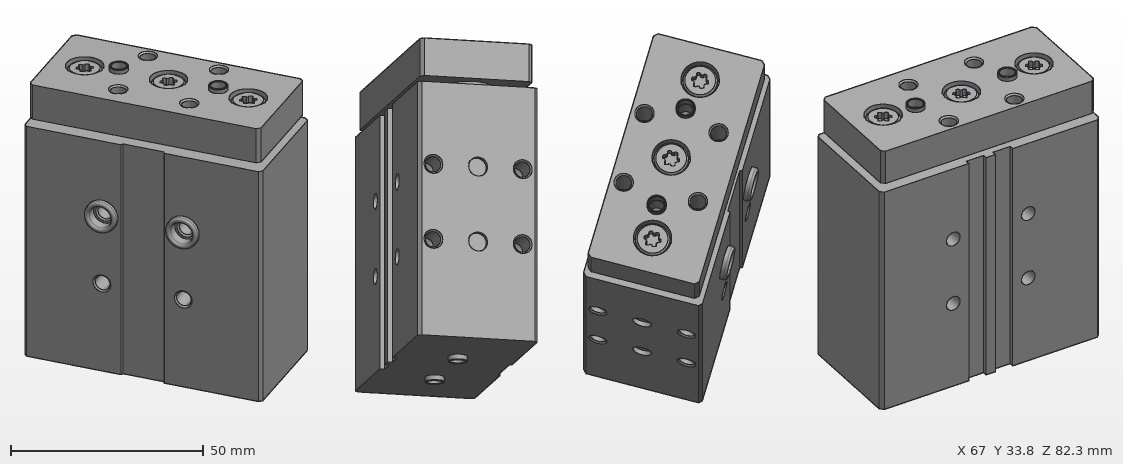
import cadquery as cq
import math


HOUSING_WIDTH = 67.0
HOUSING_DEPTH = 32.1
HOUSING_HEIGHT = 67.7
FRONT_CHAMFER = 0.8
BACK_CHAMFER = 1.0
LEFT_X = -HOUSING_WIDTH / 2
FRONT_Y = -HOUSING_DEPTH / 2
BACK_Y = HOUSING_DEPTH / 2

FRONT_GROOVE_HALF_WIDTH = 6.1
FRONT_GROOVE_FLOOR_HALF_WIDTH = 5.8
FRONT_GROOVE_DEPTH = 0.7
BACK_SLOT_WIDTH = 13.35
BACK_SLOT_DEPTH = 1.2
BACK_RIB_WIDTH = 2.9

PLATE_WIDTH = 65.0
PLATE_DEPTH = 30.0
PLATE_THICKNESS = 10.05
PLATE_GAP = 1.8
PLATE_BACK_MARGIN = 1.0
PLATE_CHAMFER = 1.0
PLATE_Y = BACK_Y - PLATE_BACK_MARGIN - PLATE_DEPTH / 2
PLATE_BOTTOM_Z = HOUSING_HEIGHT + PLATE_GAP
PLATE_TOP_Z = PLATE_BOTTOM_Z + PLATE_THICKNESS

GUIDE_ROD_DIAMETER = 12.0
GUIDE_ROD_SPACING = 46.1
PISTON_ROD_DIAMETER = 7.5
PISTON_Y = 1.5
ROD_ENGAGEMENT = 49.4
ROD_BOTTOM_Z = HOUSING_HEIGHT - ROD_ENGAGEMENT
NECK_DIAMETER = 5.0
HEAD_DIAMETER = 9.0
HEAD_TOP_DIAMETER = 8.0
HEAD_HEIGHT = 4.0
HEAD_RECESS = 0.6
COUNTERBORE_DIAMETER = 10.0
HEAD_TOP_Z = PLATE_TOP_Z - HEAD_RECESS
HEAD_SEAT_Z = HEAD_TOP_Z - HEAD_HEIGHT
TORX_TIP_DIAMETER = 4.5
TORX_ROOT_DIAMETER = 3.3
TORX_LOBE_WIDTH = 1.15
TORX_LOBE_PAIRS = 3
TORX_DEPTH = 2.0

CORE_DIAMETER = 4.1
RIM_DIAMETER = 5.0
RIM_CHAMFER = (RIM_DIAMETER - CORE_DIAMETER) / 2
DRILL_POINT_ANGLE = 118.0
HOLE_PITCH = 20.0
LOWER_ROW_Z = 25.8
ROW_HEIGHTS = (LOWER_ROW_Z, LOWER_ROW_Z + HOLE_PITCH)
FRONT_HOLE_SPACING = 22.9
SIDE_HOLE_SPACING = 24.0
SIDE_HOLE_DEPTH = 8.2
SIDE_POCKET_DIAMETER = 5.0
SIDE_POCKET_DEPTH = 1.3

LARGE_SLEEVE_DIAMETER = 9.0
LARGE_SLEEVE_BORE = 6.3
LARGE_SLEEVE_LENGTH = 3.55
LARGE_SLEEVE_PROTRUSION = 1.7
LARGE_SLEEVE_RECESS = LARGE_SLEEVE_LENGTH - LARGE_SLEEVE_PROTRUSION
SMALL_SLEEVE_DIAMETER = 5.0
SMALL_SLEEVE_BORE = 4.0
SMALL_SLEEVE_LENGTH = 2.8
SMALL_SLEEVE_CHAMFER = 0.21
TOP_SLEEVE_PROTRUSION = 1.3
BOTTOM_SLEEVE_PROTRUSION = 1.5
TOP_SLEEVE_RECESS = SMALL_SLEEVE_LENGTH - TOP_SLEEVE_PROTRUSION
BOTTOM_SLEEVE_RECESS = SMALL_SLEEVE_LENGTH - BOTTOM_SLEEVE_PROTRUSION
TOP_SLEEVE_SPACING = 28.0
BOTTOM_SLEEVE_SPACING = 24.2
PLATE_BLIND_HOLE_DEPTH = 6.6

UP = cq.Vector(0, 0, 1)
DOWN = cq.Vector(0, 0, -1)
INTO_FRONT = cq.Vector(0, 1, 0)
INTO_LEFT = cq.Vector(1, 0, 0)


def pair(spacing):
    """Two positions placed evenly about zero."""
    return (-spacing / 2, spacing / 2)


def cylinder(start, direction, diameter, length):
    return cq.Solid.makeCylinder(diameter / 2, length, cq.Vector(*start), direction)


def rim_countersink(start, direction):
    """45 degree cone at the mouth of a threaded hole."""
    return cq.Solid.makeCone(RIM_DIAMETER / 2, CORE_DIAMETER / 2, RIM_CHAMFER, cq.Vector(*start), direction)


def drilled_hole(start, direction, diameter, depth):
    """Blind hole that ends in a drill point."""
    tip_height = diameter / 2 / math.tan(math.radians(DRILL_POINT_ANGLE / 2))
    tip_base = cq.Vector(*start) + direction * depth
    tip = cq.Solid.makeCone(diameter / 2, 0, tip_height, tip_base, direction)
    return cylinder(start, direction, diameter, depth).fuse(tip)


def housing_block():
    block = cq.Workplane("XY").box(HOUSING_WIDTH, HOUSING_DEPTH, HOUSING_HEIGHT, centered=(True, True, False))
    block = block.edges("|Z and <Y").chamfer(FRONT_CHAMFER)
    return block.edges("|Z and >Y").chamfer(BACK_CHAMFER)


def front_groove():
    """Shallow full-height groove with slightly sloping walls."""
    floor_y = FRONT_Y + FRONT_GROOVE_DEPTH
    outline = [
        (-FRONT_GROOVE_HALF_WIDTH, FRONT_Y),
        (FRONT_GROOVE_HALF_WIDTH, FRONT_Y),
        (FRONT_GROOVE_FLOOR_HALF_WIDTH, floor_y),
        (-FRONT_GROOVE_FLOOR_HALF_WIDTH, floor_y),
    ]
    return cq.Workplane("XY").polyline(outline).close().extrude(HOUSING_HEIGHT)


def back_slots():
    """Two full-height slots that leave a rib between them."""
    slot_width = (BACK_SLOT_WIDTH - BACK_RIB_WIDTH) / 2
    centres = [(x, BACK_Y - BACK_SLOT_DEPTH / 2) for x in pair(BACK_RIB_WIDTH + slot_width)]
    return cq.Workplane("XY").pushPoints(centres).rect(slot_width, BACK_SLOT_DEPTH).extrude(HOUSING_HEIGHT)


def front_holes():
    """Threaded through holes; the upper two sit at the floor of a sleeve recess."""
    cuts = []
    recess_floor_y = FRONT_Y + LARGE_SLEEVE_RECESS
    lower_z, upper_z = ROW_HEIGHTS
    for x in pair(FRONT_HOLE_SPACING):
        for z in ROW_HEIGHTS:
            cuts.append(cylinder((x, FRONT_Y, z), INTO_FRONT, CORE_DIAMETER, HOUSING_DEPTH))
        cuts.append(rim_countersink((x, FRONT_Y, lower_z), INTO_FRONT))
        cuts.append(cylinder((x, FRONT_Y, upper_z), INTO_FRONT, LARGE_SLEEVE_DIAMETER, LARGE_SLEEVE_RECESS))
        cuts.append(rim_countersink((x, recess_floor_y, upper_z), INTO_FRONT))
    return cuts


def side_holes():
    """Blind threaded holes beside a shallow dowel pocket, in two rows."""
    cuts = []
    for z in ROW_HEIGHTS:
        cuts.append(cylinder((LEFT_X, 0, z), INTO_LEFT, SIDE_POCKET_DIAMETER, SIDE_POCKET_DEPTH))
        for y in pair(SIDE_HOLE_SPACING):
            cuts.append(drilled_hole((LEFT_X, y, z), INTO_LEFT, CORE_DIAMETER, SIDE_HOLE_DEPTH))
            cuts.append(rim_countersink((LEFT_X, y, z), INTO_LEFT))
    return cuts


def rod_bores():
    bores = [cylinder((0, PISTON_Y, ROD_BOTTOM_Z), UP, PISTON_ROD_DIAMETER, ROD_ENGAGEMENT)]
    for x in pair(GUIDE_ROD_SPACING):
        bores.append(cylinder((x, PLATE_Y, ROD_BOTTOM_Z), UP, GUIDE_ROD_DIAMETER, ROD_ENGAGEMENT))
    return bores


def bottom_sleeve_recesses():
    return [
        cylinder((x, 0, 0), UP, SMALL_SLEEVE_DIAMETER, BOTTOM_SLEEVE_RECESS)
        for x in pair(BOTTOM_SLEEVE_SPACING)
    ]


def make_housing():
    housing = housing_block().cut(front_groove()).cut(back_slots())
    for cut in front_holes() + side_holes() + rod_bores() + bottom_sleeve_recesses():
        housing = housing.cut(cq.Workplane(cut))
    return housing


def torx_socket():
    """Six-lobed socket, sunk from the top of a head that stands on the Z axis."""
    sketch_plane = cq.Workplane("XY", origin=(0, 0, HEAD_TOP_Z - TORX_DEPTH))
    socket = sketch_plane.circle(TORX_ROOT_DIAMETER / 2).extrude(TORX_DEPTH)
    for i in range(TORX_LOBE_PAIRS):
        angle = 90 + i * 180 / TORX_LOBE_PAIRS
        lobe_pair = sketch_plane.slot2D(TORX_TIP_DIAMETER, TORX_LOBE_WIDTH, angle).extrude(TORX_DEPTH)
        socket = socket.union(lobe_pair)
    return socket


def screw_head(x, y):
    head = cq.Workplane("XY", origin=(0, 0, HEAD_SEAT_Z)).circle(HEAD_DIAMETER / 2).extrude(HEAD_HEIGHT)
    head = head.faces(">Z").edges().chamfer((HEAD_DIAMETER - HEAD_TOP_DIAMETER) / 2)
    return head.cut(torx_socket()).translate((x, y, 0))


def make_guide_rod(x):
    """Guide rod whose neck passes through the plate to the screw head."""
    rod = cylinder((x, PLATE_Y, ROD_BOTTOM_Z), UP, GUIDE_ROD_DIAMETER, PLATE_BOTTOM_Z - ROD_BOTTOM_Z)
    neck = cylinder((x, PLATE_Y, PLATE_BOTTOM_Z), UP, NECK_DIAMETER, HEAD_SEAT_Z - PLATE_BOTTOM_Z)
    return cq.Workplane(rod).union(cq.Workplane(neck)).union(screw_head(x, PLATE_Y))


def head_counterbore(x, y):
    return cylinder((x, y, PLATE_TOP_Z), DOWN, COUNTERBORE_DIAMETER, PLATE_TOP_Z - HEAD_SEAT_Z)


def plate_through_holes():
    cuts = []
    for x in pair(HOLE_PITCH):
        for offset in pair(HOLE_PITCH):
            start = (x, PISTON_Y + offset, PLATE_TOP_Z)
            cuts.append(cylinder(start, DOWN, CORE_DIAMETER, PLATE_THICKNESS))
            cuts.append(rim_countersink(start, DOWN))
    return cuts


def plate_sleeve_holes():
    cuts = []
    for x in pair(TOP_SLEEVE_SPACING):
        start = (x, PISTON_Y, PLATE_TOP_Z)
        cuts.append(cylinder(start, DOWN, SMALL_SLEEVE_DIAMETER, TOP_SLEEVE_RECESS))
        cuts.append(drilled_hole(start, DOWN, SMALL_SLEEVE_BORE, PLATE_BLIND_HOLE_DEPTH))
    return cuts


def guide_rod_holes():
    cuts = []
    for x in pair(GUIDE_ROD_SPACING):
        cuts.append(head_counterbore(x, PLATE_Y))
        cuts.append(cylinder((x, PLATE_Y, PLATE_TOP_Z), DOWN, NECK_DIAMETER, PLATE_THICKNESS))
    return cuts


def make_yoke():
    yoke = cq.Workplane("XY", origin=(0, PLATE_Y, PLATE_BOTTOM_Z)).rect(PLATE_WIDTH, PLATE_DEPTH)
    yoke = yoke.extrude(PLATE_THICKNESS).edges("|Z").chamfer(PLATE_CHAMFER)
    for cut in plate_through_holes() + plate_sleeve_holes() + guide_rod_holes():
        yoke = yoke.cut(cq.Workplane(cut))
    yoke = yoke.cut(cq.Workplane(head_counterbore(0, PISTON_Y)))
    piston_rod = cylinder((0, PISTON_Y, ROD_BOTTOM_Z), UP, PISTON_ROD_DIAMETER, PLATE_BOTTOM_Z - ROD_BOTTOM_Z)
    return yoke.union(screw_head(0, PISTON_Y)).union(cq.Workplane(piston_rod))


def make_large_sleeve(x):
    """Sleeve with a fully rounded outer end, standing out of the front face."""
    inner_radius = LARGE_SLEEVE_BORE / 2
    outer_radius = LARGE_SLEEVE_DIAMETER / 2
    rounding = (outer_radius - inner_radius) / 2
    straight_length = LARGE_SLEEVE_LENGTH - rounding
    section = cq.Workplane("XZ").moveTo(inner_radius, 0).lineTo(outer_radius, 0)
    section = section.lineTo(outer_radius, straight_length)
    crown = (inner_radius + rounding, LARGE_SLEEVE_LENGTH)
    section = section.threePointArc(crown, (inner_radius, straight_length))
    sleeve = section.close().revolve(360, (0, 0, 0), (0, 1, 0))
    facing_front = sleeve.rotate((0, 0, 0), (1, 0, 0), 90)
    return facing_front.translate((x, FRONT_Y + LARGE_SLEEVE_RECESS, ROW_HEIGHTS[-1]))


def make_small_sleeve(x, y, base_z):
    """Sleeve with both ends chamfered inside and out."""
    sleeve = cq.Workplane("XY", origin=(x, y, base_z)).circle(SMALL_SLEEVE_DIAMETER / 2)
    sleeve = sleeve.circle(SMALL_SLEEVE_BORE / 2).extrude(SMALL_SLEEVE_LENGTH)
    return sleeve.faces("<Z or >Z").edges().chamfer(SMALL_SLEEVE_CHAMFER)


housing = make_housing()
yoke = make_yoke()
guide_rods = [make_guide_rod(x) for x in pair(GUIDE_ROD_SPACING)]
front_sleeves = [make_large_sleeve(x) for x in pair(FRONT_HOLE_SPACING)]
top_sleeves = [
    make_small_sleeve(x, PISTON_Y, PLATE_TOP_Z - TOP_SLEEVE_RECESS) for x in pair(TOP_SLEEVE_SPACING)
]
bottom_sleeves = [make_small_sleeve(x, 0, -BOTTOM_SLEEVE_PROTRUSION) for x in pair(BOTTOM_SLEEVE_SPACING)]

bodies = [housing, yoke, *guide_rods, *front_sleeves, *top_sleeves, *bottom_sleeves]
result = cq.Compound.makeCompound([body.val() for body in bodies])